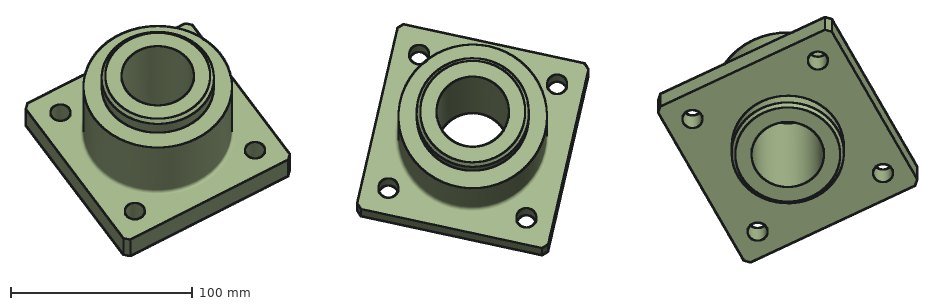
import cadquery as cq

flange_side = 108.0
flange_thickness = 16.0
corner_chamfer = 2.8

bolt_hole_diameter = 11.0
bolt_spacing = 78.0

housing_diameter = 82.0
housing_height = 43.0
root_fillet = 2.0

total_height = 80.0
sleeve_diameter = 62.0
bore_diameter = 40.0
sleeve_end_chamfer = 2.0
sleeve_projection = (total_height - flange_thickness - housing_height) / 2


def make_flange():
    """Square plate with chamfered corners, its underside at Z = 0."""
    plate = cq.Workplane("XY").rect(flange_side, flange_side).extrude(flange_thickness)
    return plate.edges("|Z").chamfer(corner_chamfer)


def add_housing(flange):
    """Add the round housing and fillet its root on the flange."""
    body = flange.faces(">Z").workplane().circle(housing_diameter / 2).extrude(housing_height)
    root_edge = cq.selectors.RadiusNthSelector(0)
    return body.faces(">Z[-2]").edges("%CIRCLE").edges(root_edge).fillet(root_fillet)


def make_sleeve():
    """Solid sleeve blank with both outer ends chamfered."""
    blank = cq.Workplane("XY").workplane(offset=-sleeve_projection)
    blank = blank.circle(sleeve_diameter / 2).extrude(total_height)
    return blank.edges("%CIRCLE").chamfer(sleeve_end_chamfer)


def cut_holes(body):
    """Cut the central bore and the four bolt holes right through."""
    drilled = body.faces(">Z").workplane().hole(bore_diameter)
    bolt_holes = (
        cq.Workplane("XY")
        .rect(bolt_spacing, bolt_spacing, forConstruction=True)
        .vertices()
        .circle(bolt_hole_diameter / 2)
        .extrude(flange_thickness)
    )
    return drilled.cut(bolt_holes)


result = cut_holes(add_housing(make_flange()).union(make_sleeve()))